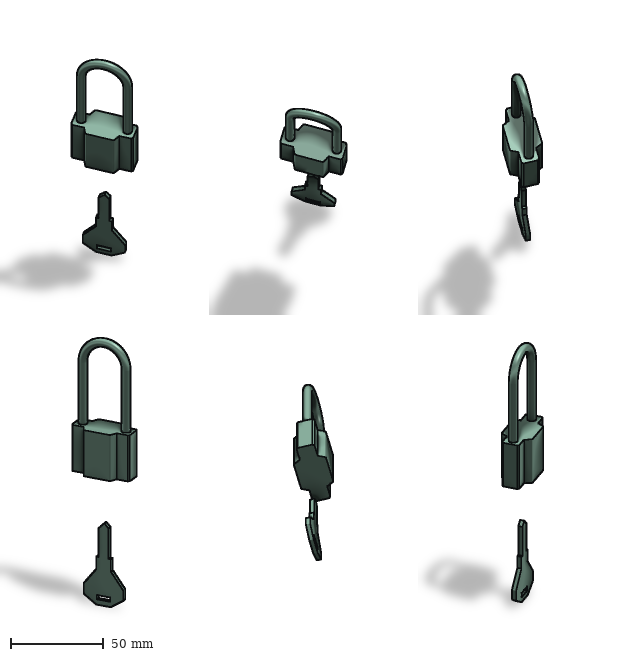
import cadquery as cq

BODY_WIDTH = 35.0
BODY_DEPTH = 18.0
BODY_HEIGHT = 26.9
ARM_DEPTH = 10.0
RIB_BASE_WIDTH = 20.0
RIB_FACE_WIDTH = 16.0
ARM_CHAMFER = 1.0
RIB_EDGE_RADIUS = 1.0

ROD_DIAMETER = 5.0
LEG_SPACING = 26.2
LEG_LENGTH = 36.0

OVERALL_HEIGHT = 155.2
KEY_THICKNESS = 2.5
KEY_LENGTH = 48.3
HEAD_BOTTOM_WIDTH = 8.7
HEAD_WIDTH = 24.0
HEAD_LOWER_CORNER = 5.0
HEAD_UPPER_CORNER = 11.2
HEAD_CORNER_RADIUS = 1.5
NECK_BOTTOM = 20.8
SHOULDER = 28.0
NECK_WIDTH = 9.0
BLADE_WIDTH = 6.0
TIP_OFFSET = 0.5
SLOT_WIDTH = 8.0
SLOT_HEIGHT = 2.5
SLOT_BOTTOM = 3.1

ARCH_RADIUS = LEG_SPACING / 2
SHACKLE_TOP = BODY_HEIGHT + LEG_LENGTH + ARCH_RADIUS + ROD_DIAMETER / 2
KEY_BOTTOM = SHACKLE_TOP - OVERALL_HEIGHT


def make_lock_body():
    """Upright prism whose plan is a plus shape with a tapered rib front and back."""
    half_width = BODY_WIDTH / 2
    half_depth = BODY_DEPTH / 2
    half_arm = ARM_DEPTH / 2
    half_base = RIB_BASE_WIDTH / 2
    half_face = RIB_FACE_WIDTH / 2
    plan = [
        (-half_width, -half_arm),
        (-half_base, -half_arm),
        (-half_face, -half_depth),
        (half_face, -half_depth),
        (half_base, -half_arm),
        (half_width, -half_arm),
        (half_width, half_arm),
        (half_base, half_arm),
        (half_face, half_depth),
        (-half_face, half_depth),
        (-half_base, half_arm),
        (-half_width, half_arm),
    ]
    prism = cq.Workplane("XY").polyline(plan).close().extrude(BODY_HEIGHT)

    bevelled = prism.faces("<X or >X").edges("|Z").chamfer(ARM_CHAMFER)
    return bevelled.faces("<Y or >Y").edges("|Z").fillet(RIB_EDGE_RADIUS)


def make_shackle():
    """Round rod swept up one leg, over a half circle and down the other leg."""
    arch_base = BODY_HEIGHT + LEG_LENGTH
    path = (
        cq.Workplane("XZ")
        .moveTo(-ARCH_RADIUS, BODY_HEIGHT)
        .lineTo(-ARCH_RADIUS, arch_base)
        .threePointArc((0, arch_base + ARCH_RADIUS), (ARCH_RADIUS, arch_base))
        .lineTo(ARCH_RADIUS, BODY_HEIGHT)
    )
    rod = cq.Workplane("XY", origin=(-ARCH_RADIUS, 0, BODY_HEIGHT)).circle(ROD_DIAMETER / 2)
    return rod.sweep(path)


def make_key():
    """Flat key with a faceted head, a stepped neck and a 45 degree point."""
    half_blade = BLADE_WIDTH / 2
    left_tip_drop = half_blade + TIP_OFFSET
    right_tip_drop = half_blade - TIP_OFFSET
    outline = [
        (-HEAD_BOTTOM_WIDTH / 2, 0),
        (HEAD_BOTTOM_WIDTH / 2, 0),
        (HEAD_WIDTH / 2, HEAD_LOWER_CORNER),
        (HEAD_WIDTH / 2, HEAD_UPPER_CORNER),
        (NECK_WIDTH / 2, NECK_BOTTOM),
        (NECK_WIDTH / 2, SHOULDER),
        (half_blade, SHOULDER),
        (half_blade, KEY_LENGTH - right_tip_drop),
        (TIP_OFFSET, KEY_LENGTH),
        (-half_blade, KEY_LENGTH - left_tip_drop),
        (-half_blade, SHOULDER),
        (-NECK_WIDTH / 2, SHOULDER),
        (-NECK_WIDTH / 2, NECK_BOTTOM),
        (-HEAD_WIDTH / 2, HEAD_UPPER_CORNER),
        (-HEAD_WIDTH / 2, HEAD_LOWER_CORNER),
    ]
    key_plane = cq.Workplane("XZ", origin=(0, 0, KEY_BOTTOM))
    plate = key_plane.polyline(outline).close().extrude(KEY_THICKNESS / 2, both=True)

    head_box = cq.selectors.BoxSelector(
        (-HEAD_WIDTH, -KEY_THICKNESS, KEY_BOTTOM - HEAD_CORNER_RADIUS),
        (HEAD_WIDTH, KEY_THICKNESS, KEY_BOTTOM + HEAD_UPPER_CORNER + HEAD_CORNER_RADIUS),
    )
    plate = plate.edges("|Y").edges(head_box).fillet(HEAD_CORNER_RADIUS)

    slot = (
        key_plane.center(0, SLOT_BOTTOM + SLOT_HEIGHT / 2)
        .rect(SLOT_WIDTH, SLOT_HEIGHT)
        .extrude(KEY_THICKNESS / 2, both=True)
    )
    return plate.cut(slot)


lock_body = make_lock_body()
shackle = make_shackle()
key = make_key()

result = cq.Compound.makeCompound([lock_body.val(), shackle.val(), key.val()])